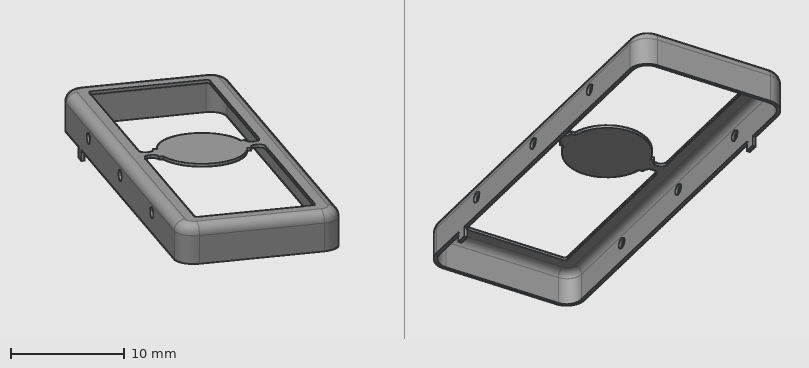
import cadquery as cq
import math

LENGTH = 37.8
WIDTH = 15.1
BODY_HEIGHT = 3.7
CORNER_RADIUS = 1.8
TOP_FILLET = 1.0
WALL = 0.3
TOP_THICKNESS = 0.3

RIM = 2.0
WINDOW_LENGTH = LENGTH - 2 * RIM
WINDOW_WIDTH = WIDTH - 2 * RIM
WINDOW_CORNER_RADIUS = 0.3

DISC_RADIUS = 4.0
NECK_WIDTH = 0.8
NECK_LENGTH = 1.3
NECK_FILLET = 0.6
SHOULDER_WIDTH = 2.05

HOLE_DIAMETER = 1.0
HOLE_PITCH = 10.0
HOLE_DEPTH_BELOW_TOP = 1.8

FOOT_WIDTH = 1.0
FOOT_HEIGHT = 1.0
FOOT_SPACING = 25.4


def slab(length, width, bottom, top):
    """Box centred on X and Y between two Z levels."""
    return cq.Workplane("XY").workplane(offset=bottom).rect(length, width).extrude(top - bottom)


def make_shell():
    """Rounded cover, hollow from below, with even thickness round the top edge."""
    outer = slab(LENGTH, WIDTH, -BODY_HEIGHT, 0).edges("|Z").fillet(CORNER_RADIUS)
    outer = outer.faces(">Z").edges().fillet(TOP_FILLET)
    cavity = slab(LENGTH - 2 * WALL, WIDTH - 2 * WALL, -BODY_HEIGHT, -TOP_THICKNESS)
    cavity = cavity.edges("|Z").fillet(CORNER_RADIUS - WALL)
    cavity = cavity.faces(">Z").edges().fillet(TOP_FILLET - WALL)
    return outer.cut(cavity)


def make_window_half():
    """Right half of the window, bounded by the rim, the two necks and the disc."""
    rim_x = WINDOW_LENGTH / 2
    rim_y = WINDOW_WIDTH / 2
    neck_x = NECK_WIDTH / 2
    shoulder_x = SHOULDER_WIDTH / 2
    shoulder_y = rim_y - NECK_LENGTH
    disc_y = math.sqrt(DISC_RADIUS**2 - shoulder_x**2)
    profile = (
        cq.Workplane("XY")
        .moveTo(shoulder_x, disc_y)
        .lineTo(shoulder_x, shoulder_y)
        .lineTo(neck_x, shoulder_y)
        .lineTo(neck_x, rim_y)
        .lineTo(rim_x, rim_y)
        .lineTo(rim_x, -rim_y)
        .lineTo(neck_x, -rim_y)
        .lineTo(neck_x, -shoulder_y)
        .lineTo(shoulder_x, -shoulder_y)
        .lineTo(shoulder_x, -disc_y)
        .threePointArc((DISC_RADIUS, 0), (shoulder_x, disc_y))
        .close()
    )
    half = profile.extrude(-TOP_THICKNESS)
    half = half.edges("|Z and >X").fillet(WINDOW_CORNER_RADIUS)
    return half.edges("|Z and <X").fillet(NECK_FILLET)


def make_cross_holes():
    """Row of three holes running along Y through both long walls."""
    centres = [(step * HOLE_PITCH, -HOLE_DEPTH_BELOW_TOP) for step in (-1, 0, 1)]
    holes = cq.Workplane("XZ").pushPoints(centres).circle(HOLE_DIAMETER / 2)
    return holes.extrude(WIDTH / 2, both=True)


def make_feet():
    """Two feet at diagonally opposite places, continuing the long walls downwards."""
    foot_x = FOOT_SPACING / 2
    foot_y = (WIDTH - WALL) / 2
    feet = cq.Workplane("XY").workplane(offset=-BODY_HEIGHT)
    feet = feet.pushPoints([(-foot_x, -foot_y), (foot_x, foot_y)]).rect(FOOT_WIDTH, WALL)
    return feet.extrude(-FOOT_HEIGHT)


window_half = make_window_half()
result = make_shell().cut(window_half).cut(window_half.mirror("YZ"))
result = result.cut(make_cross_holes()).union(make_feet())